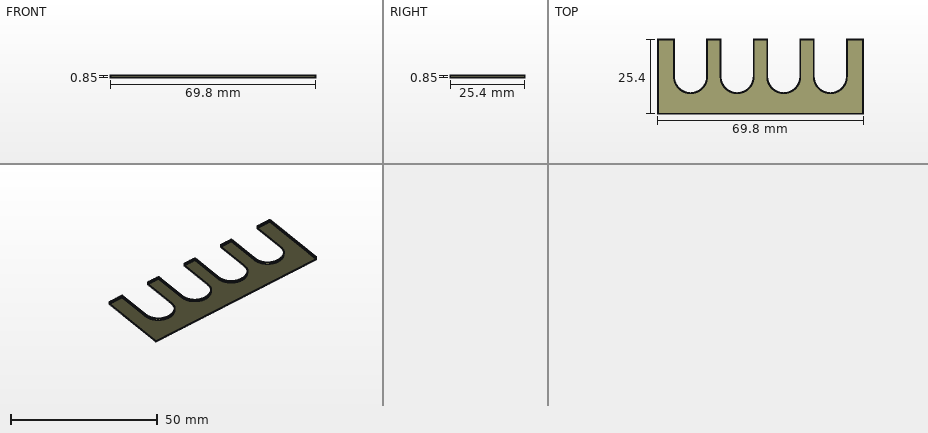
import cadquery as cq

plate_length = 69.85
plate_width = 25.4
plate_thickness = 0.85

slot_count = 4
slot_pitch = 15.85
slot_width = 11.2
slot_depth = 18.3

slot_radius = slot_width / 2
open_edge_y = plate_width / 2
arc_center_y = open_edge_y - slot_depth + slot_radius


def slot_cutter(center_x):
    """U-shaped slot running from the open edge to a half-round bottom."""
    left_x = center_x - slot_radius
    right_x = center_x + slot_radius
    return (
        cq.Workplane("XY")
        .moveTo(left_x, open_edge_y)
        .lineTo(left_x, arc_center_y)
        .threePointArc((center_x, arc_center_y - slot_radius), (right_x, arc_center_y))
        .lineTo(right_x, open_edge_y)
        .close()
        .extrude(plate_thickness)
    )


result = cq.Workplane("XY").box(
    plate_length, plate_width, plate_thickness, centered=(True, True, False)
)

first_slot_x = -slot_pitch * (slot_count - 1) / 2
for index in range(slot_count):
    result = result.cut(slot_cutter(first_slot_x + index * slot_pitch))